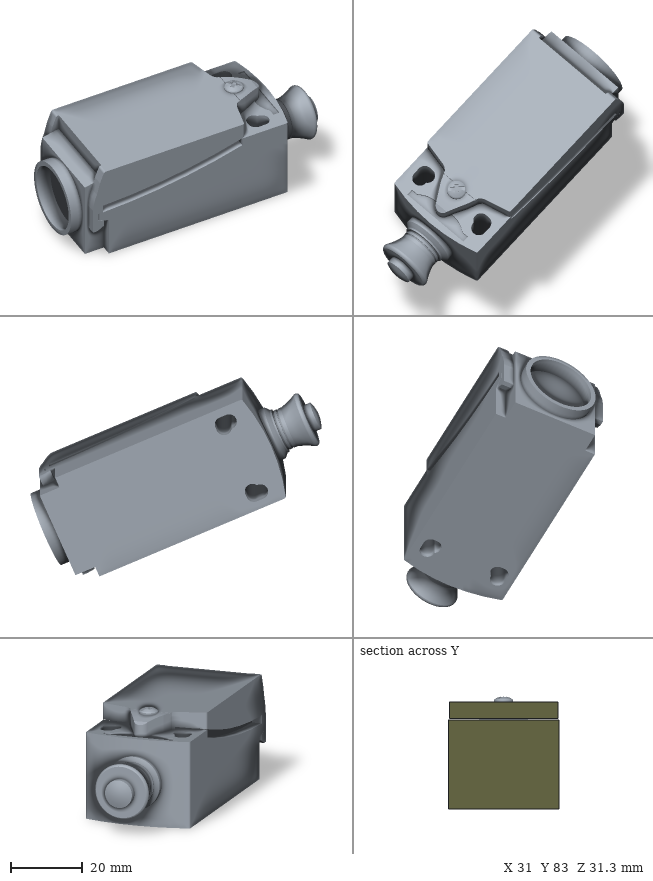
import cadquery as cq

BODY_WIDTH = 31.0
HALF_WIDTH = BODY_WIDTH / 2
CORE_WIDTH = 25.0
DECK_Z = 25.0
LID_TOP_Z = 30.0
AXIS_Z = DECK_Z / 2
REAR_CROWN_Y = 68.5
REAR_CORNER_Y = 66.3
CORNER_RADIUS = 0.6
BASE_FRONT_Y = 9.5

COLLAR_LENGTH = 3.5
COLLAR_OUTER_RADIUS = 10.9
COLLAR_BORE_RADIUS = 9.5
COLLAR_BORE_DEPTH = 4.5
BLOCK_FRONT_Y = COLLAR_LENGTH
BLOCK_FRONT_Z = 24.0
BLOCK_RIDGE_Y = 7.75
LID_FRONT_Y = 8.75

LID_REAR_SIDE_Y = 52.5
GROOVE_END_Y = 51.9
GROOVE_HEIGHT = 2.4
GROOVE_FRONT_Y = 7.65
LEDGE_FRONT_Z = 15.6
GROOVE_MID_Y = 30.0
LEDGE_MID_Z = 17.7
HOOK_BOTTOM_Z = 9.5
TONGUE_BOTTOM_Z = 13.0
TONGUE_ROOT_Z = 12.1
LID_HEEL_Y = 54.8
LID_HEEL_Z = 25.7
LID_UNDERSIDE_GAP = 0.1
FLARE_OUTER_X = 8.0
FLARE_OUTER_Y = 54.3
FLARE_MID_X = 6.9
FLARE_MID_Y = 54.8
FLARE_INNER_X = 6.215
FLARE_INNER_Y = 55.45

BROW_START_Y = 8.5
BROW_MID_Y = 8.05
BROW_MID_Z = 29.8
BROW_END_Y = 7.8
BROW_END_Z = 29.4
CHEEK_UPPER_Y = 6.7
CHEEK_UPPER_Z = 26.5
CHEEK_LOWER_Y = 5.7
CHEEK_LOWER_Z = 22.7
CHEEK_ARC_MID_Y = 4.85
CHEEK_ARC_MID_Z = 20.0
CHEEK_UPRIGHT_Z = 17.3
HOOK_TOE_Y = 5.9
HOOK_BACK_Y = 8.0
HOOK_BACK_LOW_Z = 10.7
HOOK_BACK_HIGH_Z = 12.5
CHEEK_FRONT_Y = 4.5
TONGUE_TIP_Y = 6.5
TONGUE_GAP = 0.25

TAB_BASE_Y = 56.2
TAB_BASE_HALF = 5.9
TAB_NOSE_Y = 65.2
TAB_SHOULDER_Y = 63.9
TAB_SHOULDER_HALF = 2.0
TAB_NOSE_Z = 28.2
TAB_SHOULDER_Z = 28.9
TAB_BEND_Y = 58.7
TAB_BEND_HALF = 4.85
TAB_SEAM = 0.25
SCREW_Y = 57.5
SCREW_RADIUS = 2.7
SCREW_RIM_Z = LID_TOP_Z + 0.4
SCREW_BEVEL = 0.25
DOME_APEX_Z = 31.41
SLOT_WIDTH = 1.1
CROSS_LENGTH = 2.7
SLOT_DEPTH = 0.7
SLOT_ANGLE = 45.0

HOLE_RADIUS = 2.15
HOLE_OUTER_X = 11.0
HOLE_INNER_X = 10.0
HOLE_REAR_Y = 60.5
HOLE_FRONT_Y = 58.5
RECESS_DEPTH = 0.5
RECESS_HALF = 10.4
RECESS_REAR_Y = 66.4
RECESS_EAR_Y = 64.5
RECESS_ARC_HALF = 8.4
RECESS_ARC_MID_X = 6.3
RECESS_ARC_MID_Y = 63.2
RECESS_FRONT_HALF = 3.6
RECESS_FRONT_Y = 62.6

PLUNGER_TIP_Y = 83.0
FOOT_RADIUS = 7.7
NECK_RADIUS = 5.9
NECK_GROOVE_RADIUS = 5.6
HEAD_RADIUS = 7.9
HEAD_RIM_MID_RADIUS = 7.82
HEAD_RIM_MID_Y = 79.6
HEAD_FACE_RADIUS = 7.4
PIN_RADIUS = 4.0
PIN_EDGE_Y = 82.1
HEAD_TOP_Y = 80.05
HEAD_FLARE_START_Y = 74.1
HEAD_FLARE_MID_Y = 76.5
HEAD_FLARE_MID_RADIUS = 6.7
HEAD_FLARE_END_Y = 78.9
FOOT_CONE_START_Y = 69.7
FOOT_CONE_END_Y = 70.85
FOOT_COLLAR_RADIUS = 6.45
FOOT_END_Y = 71.35
NECK_GROOVES = 2
NECK_GROOVE_WIDTH = 0.5
NECK_GROOVE_PITCH = 1.2


def extrude_side(profile, x_min, x_max):
    """Extrude a closed (Y, Z) profile along X."""
    return profile.extrude(x_max - x_min).translate((x_min, 0, 0))


def both_sides(shape):
    """Add the mirror image on the -X side."""
    return shape.union(shape.mirror("YZ"))


def cylinder_y(radius, y_min, y_max):
    """Cylinder on the common axis, running along Y."""
    plane = cq.Plane(origin=(0, y_min, AXIS_Z), xDir=(1, 0, 0), normal=(0, 1, 0))
    return cq.Workplane(plane).circle(radius).extrude(y_max - y_min)


def crowned_plan(height):
    """Plan of the whole part: straight sides and a crowned rear wall."""
    return (
        cq.Workplane("XY")
        .moveTo(-HALF_WIDTH, 0)
        .lineTo(HALF_WIDTH, 0)
        .lineTo(HALF_WIDTH, REAR_CORNER_Y)
        .threePointArc((0, REAR_CROWN_Y), (-HALF_WIDTH, REAR_CORNER_Y))
        .close()
        .extrude(height)
        .edges("|Z")
        .edges(">Y")
        .fillet(CORNER_RADIUS)
    )


def make_core():
    """Middle of the base, with the front block and its sloping top."""
    profile = (
        cq.Workplane("YZ")
        .moveTo(BLOCK_FRONT_Y, 0)
        .lineTo(REAR_CROWN_Y, 0)
        .lineTo(REAR_CROWN_Y, DECK_Z)
        .lineTo(BLOCK_RIDGE_Y, DECK_Z)
        .lineTo(BLOCK_FRONT_Y, BLOCK_FRONT_Z)
        .close()
    )
    return extrude_side(profile, -CORE_WIDTH / 2, CORE_WIDTH / 2)


def make_base_side():
    """Side of the base, with the curved ledge and the tongue held by the hook."""
    profile = (
        cq.Workplane("YZ")
        .moveTo(BASE_FRONT_Y, 0)
        .lineTo(REAR_CROWN_Y, 0)
        .lineTo(REAR_CROWN_Y, DECK_Z)
        .lineTo(GROOVE_END_Y, DECK_Z)
        .lineTo(GROOVE_END_Y, DECK_Z - GROOVE_HEIGHT)
        .threePointArc((GROOVE_MID_Y, LEDGE_MID_Z), (GROOVE_FRONT_Y, LEDGE_FRONT_Z))
        .lineTo(TONGUE_TIP_Y, LEDGE_FRONT_Z)
        .lineTo(TONGUE_TIP_Y, TONGUE_BOTTOM_Z)
        .lineTo(BASE_FRONT_Y, TONGUE_ROOT_Z)
        .close()
    )
    return extrude_side(profile, CORE_WIDTH / 2, HALF_WIDTH)


def make_base():
    """Core and sides of the base under the crowned rear outline."""
    blank = make_core().union(both_sides(make_base_side()))
    return blank.intersect(crowned_plan(DECK_Z))


def make_cheek():
    """Side of the lid: curved underside, hook at the front, rounded front edge."""
    hook_gap_y = TONGUE_TIP_Y - TONGUE_GAP
    profile = (
        cq.Workplane("YZ")
        .moveTo(REAR_CROWN_Y, LID_TOP_Z)
        .lineTo(BROW_START_Y, LID_TOP_Z)
        .threePointArc((BROW_MID_Y, BROW_MID_Z), (BROW_END_Y, BROW_END_Z))
        .lineTo(CHEEK_UPPER_Y, CHEEK_UPPER_Z)
        .lineTo(CHEEK_LOWER_Y, CHEEK_LOWER_Z)
        .threePointArc((CHEEK_ARC_MID_Y, CHEEK_ARC_MID_Z), (CHEEK_FRONT_Y, CHEEK_UPRIGHT_Z))
        .lineTo(CHEEK_FRONT_Y, HOOK_BOTTOM_Z)
        .lineTo(HOOK_TOE_Y, HOOK_BOTTOM_Z)
        .lineTo(HOOK_BACK_Y, HOOK_BACK_LOW_Z)
        .lineTo(HOOK_BACK_Y, HOOK_BACK_HIGH_Z)
        .lineTo(hook_gap_y, TONGUE_BOTTOM_Z)
        .lineTo(hook_gap_y, LEDGE_FRONT_Z)
        .lineTo(GROOVE_FRONT_Y, LEDGE_FRONT_Z)
        .lineTo(GROOVE_FRONT_Y, LEDGE_FRONT_Z + GROOVE_HEIGHT)
        .threePointArc(
            (GROOVE_MID_Y, LEDGE_MID_Z + GROOVE_HEIGHT),
            (GROOVE_END_Y, DECK_Z + LID_UNDERSIDE_GAP),
        )
        .lineTo(LID_HEEL_Y, LID_HEEL_Z)
        .lineTo(REAR_CROWN_Y, LID_HEEL_Z)
        .close()
    )
    return extrude_side(profile, CORE_WIDTH / 2, HALF_WIDTH)


def make_lid():
    """Lid with its flared rear edge, open between the cheeks at the front."""
    middle_profile = (
        cq.Workplane("YZ")
        .moveTo(LID_FRONT_Y, DECK_Z)
        .lineTo(GROOVE_END_Y, DECK_Z)
        .lineTo(LID_HEEL_Y, LID_HEEL_Z)
        .lineTo(LID_HEEL_Y, DECK_Z)
        .lineTo(REAR_CROWN_Y, DECK_Z)
        .lineTo(REAR_CROWN_Y, LID_TOP_Z)
        .lineTo(LID_FRONT_Y, LID_TOP_Z)
        .close()
    )
    middle = extrude_side(middle_profile, -CORE_WIDTH / 2, CORE_WIDTH / 2)
    plan = (
        cq.Workplane("XY")
        .moveTo(-HALF_WIDTH, 0)
        .lineTo(HALF_WIDTH, 0)
        .lineTo(HALF_WIDTH, LID_REAR_SIDE_Y)
        .lineTo(FLARE_OUTER_X, FLARE_OUTER_Y)
        .threePointArc((FLARE_MID_X, FLARE_MID_Y), (FLARE_INNER_X, FLARE_INNER_Y))
        .lineTo(TAB_BASE_HALF, TAB_BASE_Y)
        .lineTo(-TAB_BASE_HALF, TAB_BASE_Y)
        .lineTo(-FLARE_INNER_X, FLARE_INNER_Y)
        .threePointArc((-FLARE_MID_X, FLARE_MID_Y), (-FLARE_OUTER_X, FLARE_OUTER_Y))
        .lineTo(-HALF_WIDTH, LID_REAR_SIDE_Y)
        .close()
        .extrude(LID_TOP_Z)
        .edges("|Z and (<X or >X)")
        .fillet(CORNER_RADIUS)
    )
    return middle.union(both_sides(make_cheek())).intersect(plan)


def make_tab():
    """Tapered tab behind the lid, falling away towards a rounded nose."""
    root_z = DECK_Z - RECESS_DEPTH
    fall_length = TAB_SHOULDER_Y - TAB_BASE_Y
    fall_height = LID_TOP_Z - TAB_SHOULDER_Z
    fall_radius = (fall_length**2 + fall_height**2) / (2 * fall_height)
    plan = (
        cq.Workplane("XY")
        .moveTo(-TAB_BASE_HALF, TAB_BASE_Y)
        .lineTo(TAB_BASE_HALF, TAB_BASE_Y)
        .lineTo(TAB_BEND_HALF, TAB_BEND_Y)
        .lineTo(TAB_SHOULDER_HALF, TAB_SHOULDER_Y)
        .threePointArc((0, TAB_NOSE_Y), (-TAB_SHOULDER_HALF, TAB_SHOULDER_Y))
        .lineTo(-TAB_BEND_HALF, TAB_BEND_Y)
        .close()
        .extrude(LID_TOP_Z)
    )
    profile = (
        cq.Workplane("YZ")
        .moveTo(TAB_NOSE_Y, root_z)
        .lineTo(TAB_BASE_Y, root_z)
        .lineTo(TAB_BASE_Y, LID_TOP_Z)
        .radiusArc((TAB_SHOULDER_Y, TAB_SHOULDER_Z), fall_radius)
        .lineTo(TAB_NOSE_Y, TAB_NOSE_Z)
        .close()
    )
    return plan.intersect(extrude_side(profile, -TAB_BASE_HALF, TAB_BASE_HALF))


def make_tab_seam():
    """Shallow groove between the lid and its tab."""
    return (
        cq.Workplane("XY")
        .box(BODY_WIDTH, TAB_SEAM, TAB_SEAM, centered=(True, False, False))
        .translate((0, TAB_BASE_Y, LID_TOP_Z - TAB_SEAM))
    )


def make_screw():
    """Domed screw head with a slot and a short cross recess."""
    dome_edge = SCREW_RADIUS - SCREW_BEVEL
    dome_base_z = SCREW_RIM_Z + SCREW_BEVEL
    dome_height = DOME_APEX_Z - dome_base_z
    dome_radius = (dome_edge**2 + dome_height**2) / (2 * dome_height)
    head = (
        cq.Workplane("XZ")
        .moveTo(0, DECK_Z)
        .lineTo(SCREW_RADIUS, DECK_Z)
        .lineTo(SCREW_RADIUS, SCREW_RIM_Z)
        .lineTo(dome_edge, dome_base_z)
        .radiusArc((0, DOME_APEX_Z), -dome_radius)
        .close()
        .revolve(360, (0, 0), (0, 1))
    )
    slot_floor_z = DOME_APEX_Z - SLOT_DEPTH
    recess = (
        cq.Workplane("XY")
        .box(2 * SCREW_RADIUS, SLOT_WIDTH, SLOT_DEPTH, centered=(True, True, False))
        .union(
            cq.Workplane("XY").box(SLOT_WIDTH, CROSS_LENGTH, SLOT_DEPTH, centered=(True, True, False))
        )
        .rotate((0, 0, 0), (0, 0, 1), SLOT_ANGLE)
        .translate((0, 0, slot_floor_z))
    )
    return head.cut(recess).translate((0, SCREW_Y, 0))


def make_mounting_holes():
    """Through holes on both sides, each an L of two short slots."""
    lengthwise = (
        cq.Workplane("XY")
        .center(HOLE_OUTER_X, (HOLE_REAR_Y + HOLE_FRONT_Y) / 2)
        .slot2D(HOLE_REAR_Y - HOLE_FRONT_Y + 2 * HOLE_RADIUS, 2 * HOLE_RADIUS, 90)
        .extrude(DECK_Z)
    )
    crosswise = (
        cq.Workplane("XY")
        .center((HOLE_OUTER_X + HOLE_INNER_X) / 2, HOLE_FRONT_Y)
        .slot2D(HOLE_OUTER_X - HOLE_INNER_X + 2 * HOLE_RADIUS, 2 * HOLE_RADIUS)
        .extrude(DECK_Z)
    )
    return both_sides(lengthwise.union(crosswise))


def make_deck_recess():
    """Shallow pocket in the deck around the nose of the tab."""
    return (
        cq.Workplane("XY", origin=(0, 0, DECK_Z - RECESS_DEPTH))
        .moveTo(-RECESS_HALF, RECESS_REAR_Y)
        .lineTo(RECESS_HALF, RECESS_REAR_Y)
        .lineTo(RECESS_HALF, RECESS_EAR_Y)
        .lineTo(RECESS_ARC_HALF, RECESS_EAR_Y)
        .threePointArc((RECESS_ARC_MID_X, RECESS_ARC_MID_Y), (RECESS_FRONT_HALF, RECESS_FRONT_Y))
        .lineTo(-RECESS_FRONT_HALF, RECESS_FRONT_Y)
        .threePointArc((-RECESS_ARC_MID_X, RECESS_ARC_MID_Y), (-RECESS_ARC_HALF, RECESS_EAR_Y))
        .lineTo(-RECESS_HALF, RECESS_EAR_Y)
        .close()
        .extrude(RECESS_DEPTH)
    )


def make_plunger():
    """Turned plunger: flanged foot, grooved neck, flared head and domed pin."""
    tip_height = PLUNGER_TIP_Y - PIN_EDGE_Y
    tip_radius = (PIN_RADIUS**2 + tip_height**2) / (2 * tip_height)
    outline = (
        cq.Workplane("XY")
        .moveTo(0, REAR_CORNER_Y)
        .lineTo(FOOT_RADIUS, REAR_CORNER_Y)
        .lineTo(FOOT_RADIUS, FOOT_CONE_START_Y)
        .lineTo(FOOT_COLLAR_RADIUS, FOOT_CONE_END_Y)
        .lineTo(FOOT_COLLAR_RADIUS, FOOT_END_Y)
    )
    groove_y = FOOT_END_Y
    for _ in range(NECK_GROOVES):
        outline = (
            outline.lineTo(NECK_GROOVE_RADIUS, groove_y)
            .lineTo(NECK_GROOVE_RADIUS, groove_y + NECK_GROOVE_WIDTH)
            .lineTo(NECK_RADIUS, groove_y + NECK_GROOVE_WIDTH)
            .lineTo(NECK_RADIUS, groove_y + NECK_GROOVE_PITCH)
        )
        groove_y += NECK_GROOVE_PITCH
    outline = (
        outline.lineTo(NECK_RADIUS, HEAD_FLARE_START_Y)
        .threePointArc((HEAD_FLARE_MID_RADIUS, HEAD_FLARE_MID_Y), (HEAD_RADIUS, HEAD_FLARE_END_Y))
        .threePointArc((HEAD_RIM_MID_RADIUS, HEAD_RIM_MID_Y), (HEAD_FACE_RADIUS, HEAD_TOP_Y))
        .lineTo(PIN_RADIUS, HEAD_TOP_Y)
        .lineTo(PIN_RADIUS, PIN_EDGE_Y)
        .radiusArc((0, PLUNGER_TIP_Y), -tip_radius)
        .close()
    )
    return outline.revolve(360, (0, 0), (0, 1)).translate((0, 0, AXIS_Z))


base = make_base().cut(make_deck_recess()).cut(make_mounting_holes())
lid = make_lid().union(make_tab()).cut(make_tab_seam()).union(make_screw())
collar = cylinder_y(COLLAR_OUTER_RADIUS, 0, COLLAR_LENGTH)
collar_bore = cylinder_y(COLLAR_BORE_RADIUS, 0, COLLAR_BORE_DEPTH)
result = base.union(lid).union(make_plunger()).union(collar).cut(collar_bore)